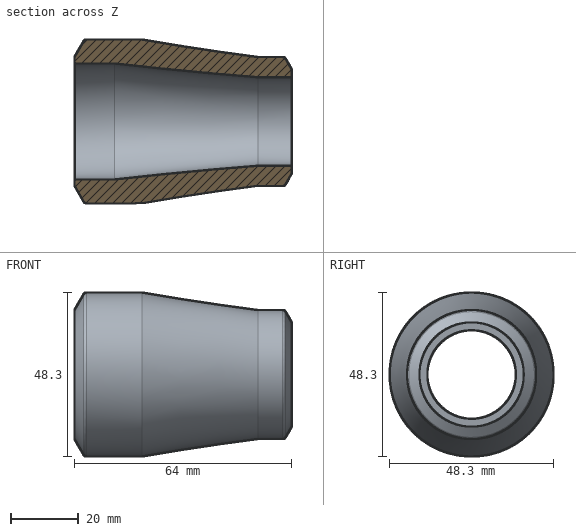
import cadquery as cq
import math

length = 64.0
large_diameter = 48.3
large_bore = 34.1
small_diameter = 38.0
small_bore = 26.0

large_face_diameter = 38.0
small_face_diameter = 30.7
bevel_angle = 30.0
bevel_edge_radius = 1.0
rim_chamfer = 0.25

transition_start = 20.0
bore_transition_start = 11.8
transition_end = 54.0
transition_sag = 0.2


def bevel_length(diameter, face_diameter):
    """Axial length of an end bevel."""
    return (diameter - face_diameter) / 2 * math.tan(math.radians(bevel_angle))


def transition_midpoint(start_x, start_radius, end_radius):
    """Middle point of the bowed profile, offset square to its chord."""
    run = transition_end - start_x
    drop = start_radius - end_radius
    chord = math.hypot(run, drop)
    x = (start_x + transition_end) / 2 - transition_sag * drop / chord
    radius = (start_radius + end_radius) / 2 - transition_sag * run / chord
    return x, radius


def make_outside():
    """Solid outer shape with bevelled ends and rounded bevel edges."""
    large_radius = large_diameter / 2
    small_radius = small_diameter / 2
    large_bevel = bevel_length(large_diameter, large_face_diameter)
    small_bevel = bevel_length(small_diameter, small_face_diameter)
    bow_midpoint = transition_midpoint(transition_start, large_radius, small_radius)
    solid = (
        cq.Workplane("XY")
        .lineTo(0, large_face_diameter / 2)
        .lineTo(large_bevel, large_radius)
        .lineTo(transition_start, large_radius)
        .threePointArc(bow_midpoint, (transition_end, small_radius))
        .lineTo(length - small_bevel, small_radius)
        .lineTo(length, small_face_diameter / 2)
        .lineTo(length, 0)
        .close()
        .revolve(360, (0, 0, 0), (1, 0, 0))
    )
    for bevel_edge_x in (large_bevel, length - small_bevel):
        bevel_edge = cq.selectors.NearestToPointSelector((bevel_edge_x, 0, 0))
        solid = solid.edges("%CIRCLE").edges(bevel_edge).fillet(bevel_edge_radius)
    return solid


def make_bore():
    """Stepped bore with its own curved transition and a chamfered large mouth."""
    large_radius = large_bore / 2
    small_radius = small_bore / 2
    bow_midpoint = transition_midpoint(bore_transition_start, large_radius, small_radius)
    return (
        cq.Workplane("XY")
        .lineTo(0, large_radius + rim_chamfer)
        .lineTo(rim_chamfer, large_radius)
        .lineTo(bore_transition_start, large_radius)
        .threePointArc(bow_midpoint, (transition_end, small_radius))
        .lineTo(length, small_radius)
        .lineTo(length, 0)
        .close()
        .revolve(360, (0, 0, 0), (1, 0, 0))
    )


result = make_outside().cut(make_bore())